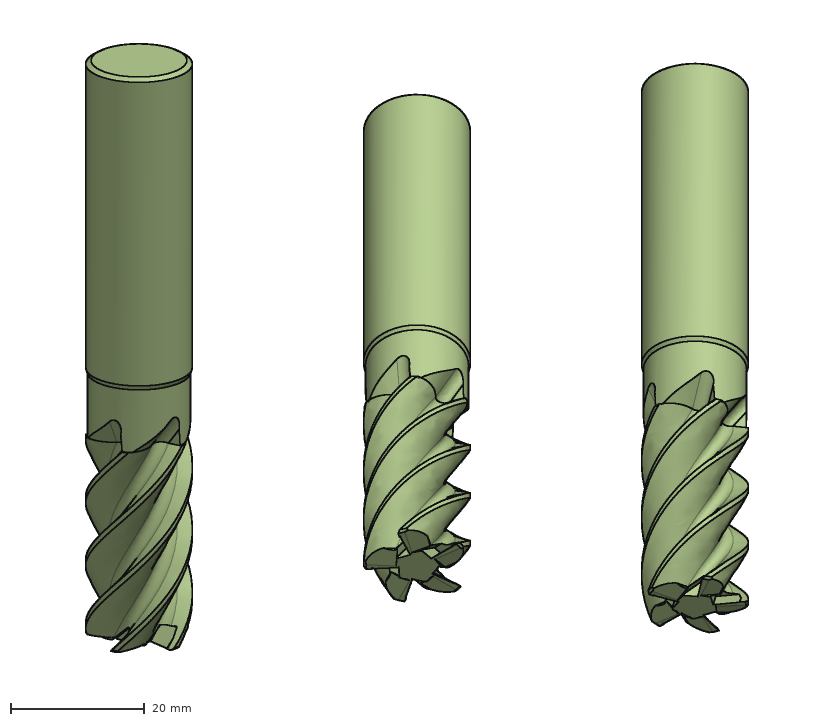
import cadquery as cq
import math

total_length = 92.0
cutting_diameter = 16.0
cutting_length = 32.2

neck_diameter = 15.5
neck_top = 42.2
shank_bottom = 43.0
shank_chamfer_height = 0.55
shank_chamfer_width = 0.8

flute_count = 5
helix_angle = 45.0
first_edge_angle = 180.0
land_angle = 7.3
back_middle_radius = 6.7
back_middle_angle = 24.0
gullet_start_radius = 4.6
gullet_start_angle = 44.2
rake_foot_radius = 5.7
rake_foot_angle = 69.4
flute_clearance = 2.8

runout_length = 6.4
runout_shift = 4.9

corner_chamfer = 0.4
gash_depth = 2.85
gash_inner_radius = 2.8
gash_outer_radius = 6.8
gash_mouth_width = 2.4
gash_roof_width = 1.5
gash_lean = 2.2
end_relief_inner_radius = 3.1
end_relief_angle = 14.0
end_relief_length = 2.9

cutting_radius = cutting_diameter / 2
neck_radius = neck_diameter / 2
tooth_pitch = 360 / flute_count
lead = math.pi * cutting_diameter / math.tan(math.radians(helix_angle))
twist_per_unit = 360 / lead
edge_angles = [first_edge_angle + i * tooth_pitch for i in range(flute_count)]


def polar(radius, angle):
    """Point at a radius and an angle in degrees."""
    return radius * math.cos(math.radians(angle)), radius * math.sin(math.radians(angle))


def trace_flute(sketch, edge_angle):
    """Continue an outline from the land of one tooth, round the gullet, to the next cutting edge."""
    return (
        sketch.threePointArc(
            polar(back_middle_radius, edge_angle + back_middle_angle),
            polar(gullet_start_radius, edge_angle + gullet_start_angle),
        )
        .tangentArcPoint(polar(rake_foot_radius, edge_angle + rake_foot_angle), relative=False)
        .lineTo(*polar(cutting_radius, edge_angle + tooth_pitch))
    )


def flute_outline(plane_height, edge_angle):
    """Open space of one flute, closed by an arc outside the cutting diameter."""
    outside = cutting_radius + flute_clearance
    next_edge = edge_angle + tooth_pitch
    land_end = edge_angle + land_angle
    sketch = cq.Workplane("XY").workplane(offset=plane_height).moveTo(*polar(cutting_radius, land_end))
    return (
        trace_flute(sketch, edge_angle)
        .lineTo(*polar(outside, next_edge))
        .threePointArc(polar(outside, edge_angle + tooth_pitch / 2), polar(outside, land_end))
        .close()
    )


def fluted_body():
    """Cross-section with all the teeth, wound up the cutting part."""
    section = cq.Workplane("XY").moveTo(*polar(cutting_radius, edge_angles[0]))
    for angle in edge_angles:
        section = section.threePointArc(
            polar(cutting_radius, angle + land_angle / 2),
            polar(cutting_radius, angle + land_angle),
        )
        section = trace_flute(section, angle)
    return section.close().twistExtrude(cutting_length, cutting_length * twist_per_unit)


def corner_ring():
    """Ring that bevels the tooth corners at the end face."""
    small_radius = cutting_radius - corner_chamfer
    outside = cutting_radius + flute_clearance
    return (
        cq.Workplane("XZ")
        .polyline(
            [
                (small_radius, 0),
                (cutting_radius, corner_chamfer),
                (outside, corner_chamfer),
                (outside, 0),
            ]
        )
        .close()
        .revolve(360, (0, 0, 0), (0, 1, 0))
    )


def radial_prism(side_points, inner_radius, outer_radius, angle):
    """Prism along a radius; its side points are (distance behind the radius, height)."""
    return (
        cq.Workplane("YZ")
        .workplane(offset=inner_radius)
        .polyline(side_points)
        .close()
        .extrude(outer_radius - inner_radius)
        .rotate((0, 0, 0), (0, 0, 1), angle)
    )


def end_gash(edge_angle):
    """Leaning slot in front of a tooth, which gives it a straight radial edge on the end face."""
    side_points = [
        (-gash_mouth_width, 0),
        (0, 0),
        (gash_lean, gash_depth),
        (gash_lean - gash_roof_width, gash_depth),
    ]
    return radial_prism(side_points, gash_inner_radius, gash_outer_radius, edge_angle)


def end_relief(edge_angle):
    """Wedge that clears the end face behind the land of a tooth."""
    rise = end_relief_length * math.tan(math.radians(end_relief_angle))
    side_points = [(0, 0), (end_relief_length, 0), (end_relief_length, rise)]
    return radial_prism(side_points, end_relief_inner_radius, cutting_diameter, edge_angle + land_angle)


def make_cutting_part():
    part = fluted_body().cut(corner_ring())
    for angle in edge_angles:
        part = part.cut(end_gash(angle))
        part = part.cut(end_relief(angle))
    return part


def flute_runout(edge_angle):
    """Flute end that slides outward along the rake face while it rises out of the neck."""
    top_edge = edge_angle + cutting_length * twist_per_unit
    outline = flute_outline(cutting_length, top_edge).wire().val()
    shift_x, shift_y = polar(runout_shift, top_edge + tooth_pitch)
    direction = cq.Vector(shift_x, shift_y, runout_length)
    return cq.Workplane(cq.Solid.extrudeLinear(outline, [], direction))


def make_shank():
    shank = (
        cq.Workplane("XZ")
        .polyline(
            [
                (0, cutting_length),
                (neck_radius, cutting_length),
                (neck_radius, neck_top),
                (cutting_radius, shank_bottom),
                (cutting_radius, total_length - shank_chamfer_height),
                (cutting_radius - shank_chamfer_width, total_length),
                (0, total_length),
            ]
        )
        .close()
        .revolve(360, (0, 0, 0), (0, 1, 0))
    )
    for angle in edge_angles:
        shank = shank.cut(flute_runout(angle))
    return shank


cutting_part = make_cutting_part()
shank = make_shank()

result = cq.Compound.makeCompound([cutting_part.val(), shank.val()])